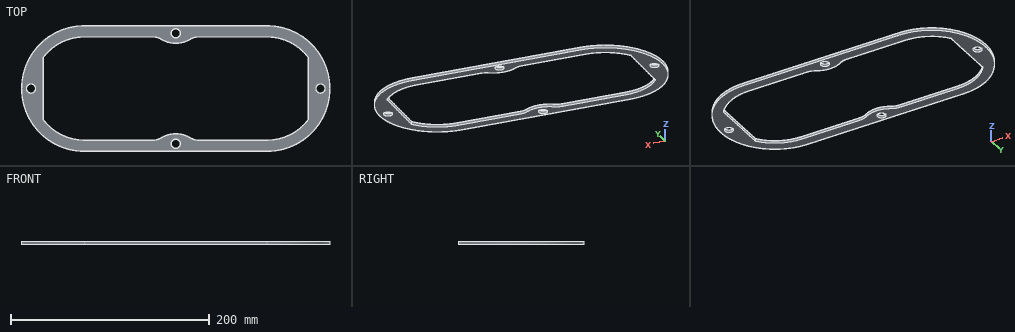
import cadquery as cq
import math

length = 311.0
width = 127.0
thickness = 3.0
outer_radius = width / 2
end_center_x = length / 2 - outer_radius

rim_width = 11.5
window_radius = outer_radius - rim_width
window_half_length = 133.5

lobe_tip_y = 45.5
lobe_radius = 28.0
lobe_fillet = 15.5

hole_diameter = 9.0
end_hole_x = 146.0
side_hole_y = 55.7


def window_outline():
    """Rounded window with flat ends and an inward lobe on each long side."""
    corner_offset = window_half_length - end_center_x
    corner_y = math.sqrt(window_radius**2 - corner_offset**2)
    arc_start_angle = math.asin(corner_y / window_radius)
    arc_mid_angle = (arc_start_angle + math.pi / 2) / 2
    arc_mid_x = end_center_x + window_radius * math.cos(arc_mid_angle)
    arc_mid_y = window_radius * math.sin(arc_mid_angle)

    lobe_center_y = lobe_tip_y + lobe_radius
    fillet_center_y = window_radius - lobe_fillet
    center_distance = lobe_radius + lobe_fillet
    center_rise = lobe_center_y - fillet_center_y
    lobe_half_span = math.sqrt(center_distance**2 - center_rise**2)
    tangent_x = lobe_half_span * lobe_radius / center_distance
    tangent_y = lobe_center_y - center_rise * lobe_radius / center_distance

    outline = cq.Workplane("XY").moveTo(window_half_length, -corner_y)
    for s in (1, -1):
        outline = (
            outline.lineTo(s * window_half_length, s * corner_y)
            .threePointArc((s * arc_mid_x, s * arc_mid_y), (s * end_center_x, s * window_radius))
            .lineTo(s * lobe_half_span, s * window_radius)
            .tangentArcPoint((s * tangent_x, s * tangent_y), relative=False)
            .threePointArc((0, s * lobe_tip_y), (-s * tangent_x, s * tangent_y))
            .tangentArcPoint((-s * lobe_half_span, s * window_radius), relative=False)
            .lineTo(-s * end_center_x, s * window_radius)
            .threePointArc((-s * arc_mid_x, s * arc_mid_y), (-s * window_half_length, s * corner_y))
        )
    return outline.close()


plate = cq.Workplane("XY").slot2D(length, width).extrude(thickness)
window = window_outline().extrude(thickness)
hole_centers = [(end_hole_x, 0), (-end_hole_x, 0), (0, side_hole_y), (0, -side_hole_y)]
holes = cq.Workplane("XY").pushPoints(hole_centers).circle(hole_diameter / 2).extrude(thickness)

result = plate.cut(window).cut(holes)